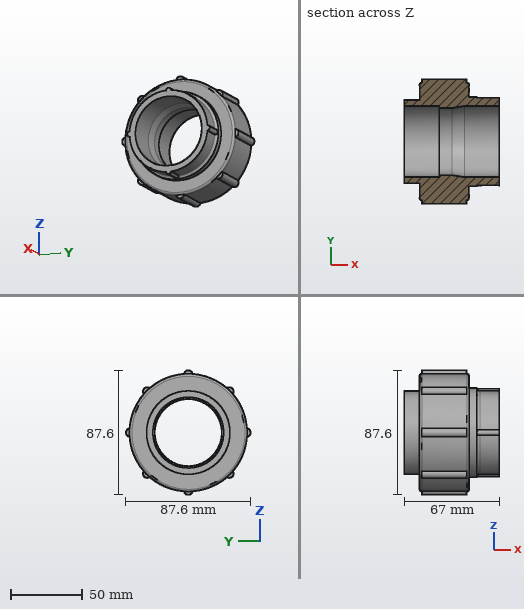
import cadquery as cq
import math

overall_length = 67.0
nut_start = 10.8
nut_end = 45.7
collar_end = 51.1

hub_radius = 29.3
nut_radius = 41.4
nut_edge_fillet = 1.7
collar_radius = 31.45
tail_fillet_radius = collar_radius - hub_radius
fillet_overlap = 1.0

bore_radius = 23.5
socket_radius = 24.9
socket_depth = 24.7
taper_start = 33.6
taper_end = overall_length - socket_depth

nut_rib_count = 8
nut_rib_radius = 3.1
nut_rib_tip = 43.8
nut_rib_start = nut_start + nut_edge_fillet
nut_rib_end = nut_end - nut_edge_fillet

tail_rib_count = 4
tail_rib_radius = 2.05
tail_rib_tip = 30.95


def cylinder(radius, start, end):
    """Cylinder on the pipe axis between two X stations."""
    return cq.Workplane("YZ").workplane(offset=start).circle(radius).extrude(end - start)


def revolve_about_axis(profile):
    """Turn a closed XY profile about the pipe axis."""
    return profile.close().revolve(360, (0, 0, 0), (1, 0, 0))


def round_ribs(count, radius, tip, start, end):
    """Round ribs parallel to the pipe axis, evenly spaced, first one on +Y."""
    return (
        cq.Workplane("YZ")
        .workplane(offset=start)
        .polarArray(tip - radius, 0, 360, count)
        .circle(radius)
        .extrude(end - start)
    )


def tail_fillet():
    """Concave ring blending the collar face into the tail."""
    fillet_end = collar_end + tail_fillet_radius
    arc_inset = tail_fillet_radius * (1 - math.sqrt(0.5))
    inner_radius = hub_radius - fillet_overlap
    profile = (
        cq.Workplane("XY")
        .moveTo(collar_end, inner_radius)
        .lineTo(collar_end, collar_radius)
        .threePointArc(
            (collar_end + arc_inset, hub_radius + arc_inset),
            (fillet_end, hub_radius),
        )
        .lineTo(fillet_end, inner_radius)
    )
    return revolve_about_axis(profile)


def stepped_bore():
    """Solid of the passage through the union, with a pipe socket at each end."""
    profile = cq.Workplane("XY").polyline([
        (0, 0),
        (0, socket_radius),
        (socket_depth, socket_radius),
        (socket_depth, bore_radius),
        (taper_start, bore_radius),
        (taper_end, socket_radius),
        (overall_length, socket_radius),
        (overall_length, 0),
    ])
    return revolve_about_axis(profile)


hub = cylinder(hub_radius, 0, overall_length)
nut = cylinder(nut_radius, nut_start, nut_end).edges().fillet(nut_edge_fillet)
collar = cylinder(collar_radius, nut_rib_end, collar_end)
nut_ribs = round_ribs(nut_rib_count, nut_rib_radius, nut_rib_tip, nut_rib_start, nut_rib_end)
tail_ribs = round_ribs(tail_rib_count, tail_rib_radius, tail_rib_tip, collar_end, overall_length)

body = hub.union(nut).union(collar).union(tail_fillet()).union(nut_ribs).union(tail_ribs)
result = body.cut(stepped_bore())